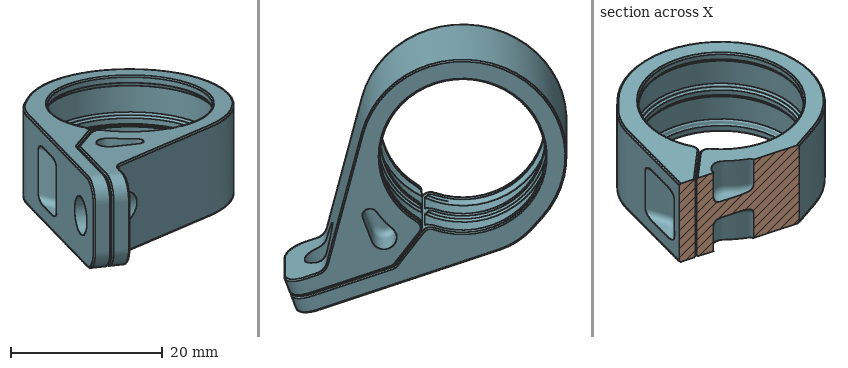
import cadquery as cq
import math


height = 12.7
bore_radius = 10.9
ring_radius = 13.72
length = 42.1
base_y = -14.27
end_x = length - ring_radius

back_angle = 30.0
back_blend_radius = 10.0
web_angle = 33.7
web_blend_radius = 2.0
flange_stack = 5.05
flange_top_y = base_y + flange_stack
flange_corner_radius = 3.0
edge_chamfer = 0.2

slit_gap = 0.13
slit_y = base_y + flange_stack / 2
slit_bend_x = 13.8
slit_angle = 34.0
slit_bend_radius = 1.0
lip_radius = 1.25

outer_land = 1.0
middle_land = 0.8
groove_round = 0.315

screw_diameter = 5.2
screw_x = end_x - 5.5

drop_depth = 5.0
drop_side_x = 15.35
drop_inner_radius = 13.85
drop_large_radius = 1.7
drop_small_radius = 1.0
drop_floor_round = 0.95

vee_x = 8.67
vee_width = 7.7
vee_height = 8.13
vee_angle = 33.7
vee_root_radius = 2.0
vee_end_round = 1.0


def polar(radius, degrees):
    """Point at a distance from the bore axis in a direction."""
    angle = math.radians(degrees)
    return (radius * math.cos(angle), radius * math.sin(angle))


def extruded(profile, z_size):
    """Solid centred on Z = 0 from a closed profile."""
    return profile.extrude(z_size / 2, both=True)


def at(x, y, reach=0.05):
    """Selector for the edges along Z, centred on Z = 0, through one point of the XY plane."""
    return cq.selectors.BoxSelector((x - reach, y - reach, -reach), (x + reach, y + reach, reach))


def body():
    """Ring and flanges without any cut."""
    back = polar(ring_radius, 270 - back_angle)
    web = polar(ring_radius, web_angle)
    back_corner_x = back[0] + (back[1] - base_y) / math.tan(math.radians(back_angle))
    web_corner_x = web[0] + (web[1] - flange_top_y) * math.tan(math.radians(web_angle))
    profile = (
        cq.Workplane("XY")
        .moveTo(back_corner_x, base_y)
        .lineTo(end_x, base_y)
        .lineTo(end_x, flange_top_y)
        .lineTo(web_corner_x, flange_top_y)
        .lineTo(*web)
        .threePointArc((-ring_radius, 0), back)
        .close()
    )
    solid = extruded(profile, height)
    solid = solid.edges(at(back_corner_x, base_y)).fillet(back_blend_radius)
    return solid.edges(at(web_corner_x, flange_top_y)).fillet(web_blend_radius)


def split(solid):
    """Cut the bent gap from the bore to the free end and round the lips it leaves at the bore."""
    angle = math.radians(slit_angle)
    half_gap = slit_gap / 2
    rise = half_gap / math.cos(angle)
    shift = half_gap * math.tan(angle / 2)
    inner_x = bore_radius / 2
    inner_y = slit_y + (slit_bend_x - inner_x) * math.tan(angle)
    profile = (
        cq.Workplane("XY")
        .moveTo(inner_x, inner_y + rise)
        .lineTo(slit_bend_x + shift, slit_y + half_gap)
        .lineTo(end_x, slit_y + half_gap)
        .lineTo(end_x, slit_y - half_gap)
        .lineTo(slit_bend_x - shift, slit_y - half_gap)
        .lineTo(inner_x, inner_y - rise)
        .close()
    )
    gap = extruded(profile, height)
    gap = gap.edges(at(slit_bend_x, slit_y, slit_gap)).fillet(slit_bend_radius)
    bore = extruded(cq.Workplane("XY").circle(bore_radius), height)
    solid = solid.cut(bore).cut(gap)

    offset = slit_bend_x * math.sin(angle) + slit_y * math.cos(angle)
    mouth_angle = 90 - slit_angle - math.degrees(math.acos(offset / bore_radius))
    return solid.edges(at(*polar(bore_radius, mouth_angle), slit_gap)).fillet(lip_radius)


def finish_edges(solid):
    """Round the free corners of the flanges, then break the whole outline on both faces."""
    solid = solid.edges(">X and |Y").edges("<Z or >Z").fillet(flange_corner_radius)
    return solid.faces("<Z or >Z").edges("not |Y").chamfer(edge_chamfer)


def groove(z_start, z_end):
    """Ring of material removed from the bore, with S-shaped sides."""
    r = groove_round
    overlap = 0.4
    wall = bore_radius
    return (
        cq.Workplane("XZ")
        .moveTo(wall - overlap, z_start)
        .lineTo(wall, z_start)
        .radiusArc((wall + r, z_start + r), -r)
        .radiusArc((wall + 2 * r, z_start + 2 * r), r)
        .lineTo(wall + 2 * r, z_end - 2 * r)
        .radiusArc((wall + r, z_end - r), r)
        .radiusArc((wall, z_end), -r)
        .lineTo(wall - overlap, z_end)
        .close()
        .revolve(360, (0, 0, 0), (0, 1, 0))
    )


def screw_hole():
    """Round hole along Y through both flanges."""
    return (
        cq.Workplane("XZ", origin=(screw_x, 0, 0))
        .circle(screw_diameter / 2)
        .extrude(-base_y)
    )


def drop_pocket():
    """Drop-shaped blind pocket in the upper face, with one side concentric with the bore."""
    large_x = drop_side_x - drop_large_radius
    small_x = drop_side_x - drop_small_radius
    large_y = -math.sqrt((drop_inner_radius + drop_large_radius) ** 2 - large_x ** 2)
    small_y = -math.sqrt((drop_inner_radius + drop_small_radius) ** 2 - small_x ** 2)
    large_angle = math.degrees(math.atan2(large_y, large_x))
    small_angle = math.degrees(math.atan2(small_y, small_x))
    small_top = (small_x, small_y + drop_small_radius)
    large_bottom = (large_x, large_y - drop_large_radius)
    return (
        cq.Workplane("XY", origin=(0, 0, height / 2 - drop_depth))
        .moveTo(drop_side_x, large_y)
        .lineTo(drop_side_x, small_y)
        .threePointArc(small_top, polar(drop_inner_radius, small_angle))
        .threePointArc(
            polar(drop_inner_radius, (small_angle + large_angle) / 2),
            polar(drop_inner_radius, large_angle),
        )
        .threePointArc(large_bottom, (drop_side_x, large_y))
        .close()
        .extrude(drop_depth)
        .faces("<Z")
        .edges()
        .fillet(drop_floor_round)
    )


def vee_pocket():
    """V-shaped pocket in the flat lower side, with a round root and rounded ends."""
    depth = vee_width / 2 * math.tan(math.radians(vee_angle))
    profile = (
        cq.Workplane("XY")
        .moveTo(vee_x - vee_width / 2, base_y)
        .lineTo(vee_x, base_y + depth)
        .lineTo(vee_x + vee_width / 2, base_y)
        .close()
    )
    pocket = extruded(profile, vee_height)
    pocket = pocket.edges(at(vee_x, base_y + depth)).fillet(vee_root_radius)
    return pocket.faces("<Z or >Z").edges("not <Y").fillet(vee_end_round)


groove_inner_z = middle_land / 2
groove_outer_z = height / 2 - outer_land

result = finish_edges(split(body()))
result = result.cut(screw_hole())
result = result.cut(vee_pocket())
for half_cut in (groove(groove_inner_z, groove_outer_z), drop_pocket()):
    result = result.cut(half_cut).cut(half_cut.mirror("XY"))